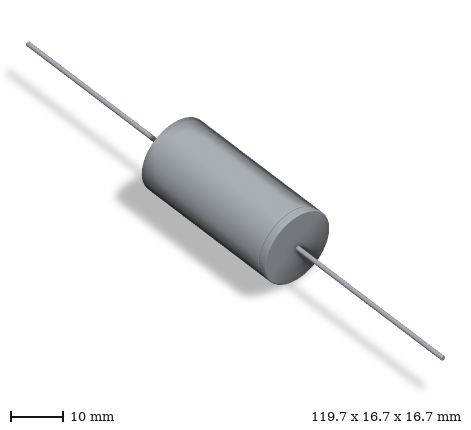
import cadquery as cq

overall_length = 119.7
can_length = 35.7
can_diameter = 16.7
lead_diameter = 1.0

cap_length = 1.85
rim_radius = 0.25

can_left = -can_length / 2
can_right = can_length / 2
groove_x = can_right - cap_length


def make_cylinder(start_x, end_x, diameter):
    """Cylinder on the X axis, revolved from a half section in the XZ plane."""
    return (
        cq.Workplane("XZ")
        .moveTo(start_x, 0)
        .lineTo(start_x, diameter / 2)
        .lineTo(end_x, diameter / 2)
        .lineTo(end_x, 0)
        .close()
        .revolve(360, (0, 0), (1, 0))
    )


def make_can_piece(start_x, end_x):
    """Length of can with both rims rounded."""
    return make_cylinder(start_x, end_x, can_diameter).faces("<X or >X").edges().fillet(rim_radius)


body = make_can_piece(can_left, groove_x)
cap = make_can_piece(groove_x, can_right)

leads = make_cylinder(-overall_length / 2, overall_length / 2, lead_diameter)

result = body.union(cap).union(leads)